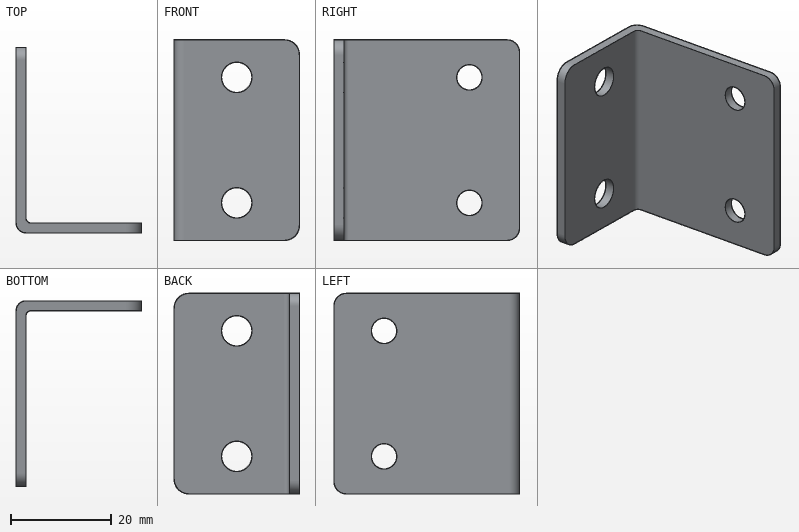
import cadquery as cq

short_leg = 25.0
long_leg = 37.0
height = 40.0
thickness = 2.0

bend_outer_radius = 2.0
bend_inner_radius = 1.0
short_leg_corner_radius = 3.0
long_leg_corner_radius = 2.5

hole_spacing = 25.0
short_leg_hole_diameter = 6.0
long_leg_hole_diameter = 5.0
short_leg_hole_x = short_leg / 2
long_leg_hole_end_distance = 10.0
long_leg_hole_y = long_leg - long_leg_hole_end_distance
hole_heights = [(height - hole_spacing) / 2, (height + hole_spacing) / 2]


def bent_sheet():
    """L-shaped sheet with its bend along Z, rounded inside and outside."""
    sheet = (
        cq.Workplane("XY")
        .polyline([
            (0, 0),
            (short_leg, 0),
            (short_leg, thickness),
            (thickness, thickness),
            (thickness, long_leg),
            (0, long_leg),
        ])
        .close()
        .extrude(height)
    )
    inner_edge = cq.NearestToPointSelector((thickness, thickness, height / 2))
    outer_edge = cq.NearestToPointSelector((0, 0, height / 2))
    sheet = sheet.edges("|Z").edges(inner_edge).fillet(bend_inner_radius)
    return sheet.edges("|Z").edges(outer_edge).fillet(bend_outer_radius)


def round_free_corners(sheet):
    """Round the top and bottom corners at the free end of each leg."""
    sheet = sheet.faces(">X").edges("|Y").fillet(short_leg_corner_radius)
    return sheet.faces(">Y").edges("|X").fillet(long_leg_corner_radius)


def short_leg_hole(z):
    """Cutter along Y through the short leg."""
    radius = short_leg_hole_diameter / 2
    start = cq.Vector(short_leg_hole_x, 0, z)
    return cq.Solid.makeCylinder(radius, thickness, start, cq.Vector(0, 1, 0))


def long_leg_hole(z):
    """Cutter along X through the long leg."""
    radius = long_leg_hole_diameter / 2
    start = cq.Vector(0, long_leg_hole_y, z)
    return cq.Solid.makeCylinder(radius, thickness, start, cq.Vector(1, 0, 0))


result = round_free_corners(bent_sheet())
for hole_z in hole_heights:
    result = result.cut(cq.Workplane(short_leg_hole(hole_z)))
    result = result.cut(cq.Workplane(long_leg_hole(hole_z)))